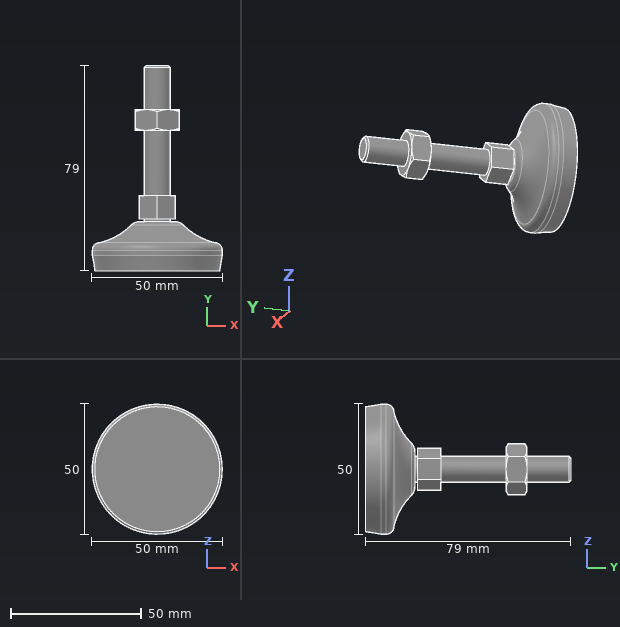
import cadquery as cq
import math

TOTAL_LENGTH = 79.0

foot_radius = 50.0 / 2
sole_radius = 24.0
taper_height = 6.0
rim_height = 8.0
shoulder_radius = 3.0
flare_arc_radius = 25.0
flare_top_radius = 10.1
flare_top_height = 17.6
foot_height = 19.0
foot_top_radius = 6.55
foot_top_rounding = 4.75

stem_diameter = 10.0
stem_chamfer = 0.8

hexagon_flats = 14.0
hexagon_start = 20.0
hexagon_length = 9.0

nut_flats = 17.0
nut_thickness = 8.0
nut_distance_from_tip = 17.0
nut_chamfer_angle = 30.0


def hex_prism(flats, start, length):
    """Hexagon along Y with two flats facing +X and -X."""
    corner_diameter = flats / math.cos(math.radians(30))
    prism = cq.Workplane("XY").polygon(6, corner_diameter).extrude(length)
    prism = prism.rotate((0, 0, 0), (0, 0, 1), 30)
    return prism.rotate((0, 0, 0), (1, 0, 0), -90).translate((0, start, 0))


def revolve_about_stem(profile):
    """Turn a closed (radius, height) profile around the Y axis."""
    return profile.close().revolve(360, (0, 0, 0), (0, 1, 0))


def make_foot():
    rim_top_height = rim_height + shoulder_radius
    rim_top_radius = foot_radius - shoulder_radius
    profile = (
        cq.Workplane("XY")
        .lineTo(sole_radius, 0)
        .lineTo(foot_radius, taper_height)
        .lineTo(foot_radius, rim_height)
        .radiusArc((rim_top_radius, rim_top_height), -shoulder_radius)
        .radiusArc((flare_top_radius, flare_top_height), flare_arc_radius)
        .radiusArc((foot_top_radius, foot_height), -foot_top_rounding)
        .lineTo(0, foot_height)
    )
    return revolve_about_stem(profile)


def make_stem():
    stem = cq.Workplane("XZ").circle(stem_diameter / 2).extrude(-TOTAL_LENGTH)
    return stem.faces(">Y").chamfer(stem_chamfer)


def make_lock_nut():
    """Hexagon nut whose corners are cut back by a cone at both ends."""
    start = TOTAL_LENGTH - nut_distance_from_tip - nut_thickness
    end = start + nut_thickness
    face_radius = nut_flats / 2
    corner_radius = face_radius / math.cos(math.radians(30))
    corner_drop = (corner_radius - face_radius) * math.tan(math.radians(nut_chamfer_angle))
    envelope = revolve_about_stem(
        cq.Workplane("XY")
        .moveTo(0, start)
        .lineTo(face_radius, start)
        .lineTo(corner_radius, start + corner_drop)
        .lineTo(corner_radius, end - corner_drop)
        .lineTo(face_radius, end)
        .lineTo(0, end)
    )
    return hex_prism(nut_flats, start, nut_thickness).intersect(envelope)


fixed_hexagon = hex_prism(hexagon_flats, hexagon_start, hexagon_length)
result = make_foot().union(make_stem()).union(fixed_hexagon).union(make_lock_nut())